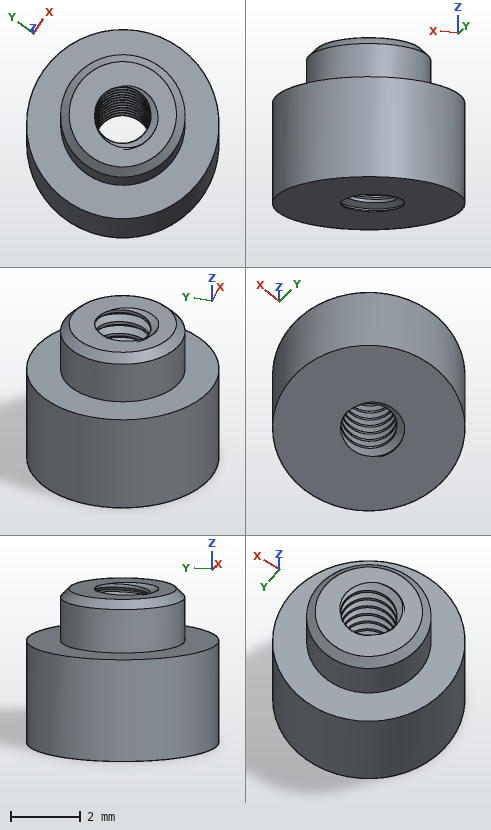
import cadquery as cq
import math

base_diameter = 5.56
base_height = 3.0
boss_diameter = 3.6
total_height = 4.53
boss_chamfer = 0.25

minor_diameter = 1.625
major_diameter = 2.075
pitch = 0.4
root_width = pitch / 8
groove_mouth_width = pitch * 3 / 4
bore_overlap = 0.03


def stepped_body():
    base = cq.Workplane("XY").circle(base_diameter / 2).extrude(base_height)
    boss = (
        cq.Workplane("XY")
        .circle(boss_diameter / 2)
        .extrude(total_height)
        .faces(">Z")
        .chamfer(boss_chamfer)
    )
    return base.union(boss)


def thread_groove():
    """Helical cutter whose root is centred on the -Y side at the top face."""
    turns_below_top = math.ceil(total_height / pitch) + 1
    start_z = total_height - turns_below_top * pitch
    helix_height = (turns_below_top + 2) * pitch

    minor_radius = minor_diameter / 2
    major_radius = major_diameter / 2
    flank_slope = (groove_mouth_width - root_width) / 2 / (major_radius - minor_radius)
    inner_radius = minor_radius - bore_overlap
    inner_half_width = groove_mouth_width / 2 + bore_overlap * flank_slope

    helix = cq.Wire.makeHelix(pitch, helix_height, minor_radius)
    groove = (
        cq.Workplane("XZ")
        .polyline([
            (inner_radius, -inner_half_width),
            (major_radius, -root_width / 2),
            (major_radius, root_width / 2),
            (inner_radius, inner_half_width),
        ])
        .close()
        .sweep(cq.Workplane(obj=helix), isFrenet=True)
    )
    return groove.rotate((0, 0, 0), (0, 0, 1), -90).translate((0, 0, start_z))


bore = cq.Workplane("XY").circle(minor_diameter / 2).extrude(total_height)
result = stepped_body().cut(thread_groove()).cut(bore)